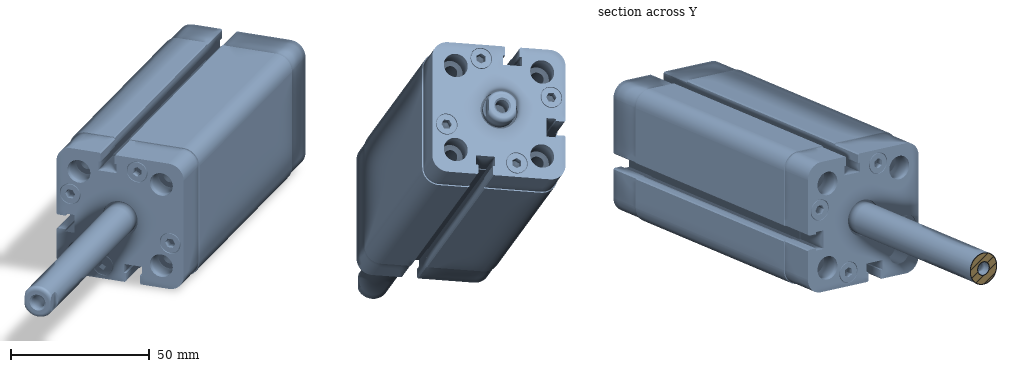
import cadquery as cq
import math

total_length = 206.5
body_length = 119.5
cap_length = 14.2
rear_rod_length = 5.8
front_rod_length = total_length - body_length - rear_rod_length

barrel_width = 50.2
cap_inset = 0.5
cap_width = barrel_width - 2 * cap_inset
barrel_corner_radius = 6.2
cap_corner_radius = barrel_corner_radius - cap_inset

slot_offset = 5.0
slot_mouth_width = 5.4
slot_inner_width = 7.0
slot_lip_depth = 3.5
slot_depth = 7.0
slot_mouth_chamfer = 0.5
slot_side_angles = (0, -90, 180)

mount_hole_spacing = 32.0
mount_hole_diameter = 5.0
counterbore_diameter = 8.9
counterbore_depth = 8.3

screw_side_offset = 6.6
screw_edge_offset = 19.5
screw_count = 4
screw_head_diameter = 7.5
screw_hole_diameter = 8.0
screw_gap_depth = 0.6
socket_sides = 6
screw_socket_width = 3.3
screw_socket_depth = 3.0

rod_diameter = 12.0
rod_clearance_diameter = 13.6
rod_clearance_depth = 1.0
rod_flat_width = 10.1
rod_flat_length = 4.5
rod_flat_runout_size = 1.0
rod_end_round = 1.5
rod_bore_mouth_diameter = 6.2
rod_bore_core_diameter = 5.0
drill_point_angle = 118.0
rod_bore_depth = 14.5


def section(y):
    """Workplane across the Y axis; its local axes are X and Z, and it extrudes toward +Y."""
    return cq.Workplane(cq.Plane(origin=(0, y, 0), xDir=(1, 0, 0), normal=(0, -1, 0)))


def t_slot(width, y_start, length):
    """T-slot cutter in the top side of a square bar of the given width."""
    surface = width / 2
    lip = surface - slot_lip_depth
    floor = surface - slot_depth
    mouth = slot_mouth_width / 2
    inner = slot_inner_width / 2
    right_half = [
        (inner, floor),
        (inner, lip),
        (mouth, lip),
        (mouth, surface - slot_mouth_chamfer),
        (mouth + slot_mouth_chamfer, surface),
    ]
    left_half = [(-x, z) for x, z in reversed(right_half)]
    outline = section(y_start).center(-slot_offset, 0).polyline(right_half + left_half).close()
    return outline.extrude(-length)


def slotted_bar(width, corner_radius, y_start, length):
    """Rounded square bar with a T-slot in its top, left and bottom sides."""
    bar = section(y_start).rect(width, width).extrude(-length).edges("|Y").fillet(corner_radius)
    slot = t_slot(width, y_start, length)
    for angle in slot_side_angles:
        bar = bar.cut(slot.rotate((0, 0, 0), (0, 1, 0), angle))
    return bar


def both_ends(front_shape):
    """The shape at the front end together with its mirror image at the rear end."""
    middle = (0, body_length / 2, 0)
    return front_shape.union(front_shape.mirror("XZ", middle))


def body():
    barrel_length = body_length - 2 * cap_length
    front_cap = slotted_bar(cap_width, cap_corner_radius, 0, cap_length)
    barrel = slotted_bar(barrel_width, barrel_corner_radius, cap_length, barrel_length)
    return barrel.union(both_ends(front_cap))


def mounting_holes():
    corners = section(0).rect(mount_hole_spacing, mount_hole_spacing, forConstruction=True).vertices()
    through = corners.circle(mount_hole_diameter / 2).extrude(-body_length)
    counterbores = corners.circle(counterbore_diameter / 2).extrude(-counterbore_depth)
    return through.union(both_ends(counterbores))


def screw_recesses():
    """Narrow gaps around the flush screw heads, with a hexagon socket in each head."""
    recesses = cq.Workplane()
    place = section(0).center(screw_side_offset, screw_edge_offset)
    ring = place.circle(screw_hole_diameter / 2).circle(screw_head_diameter / 2).extrude(-screw_gap_depth)
    socket = place.polygon(socket_sides, screw_socket_width, circumscribed=True).extrude(-screw_socket_depth)
    recess = ring.union(socket)
    for index in range(screw_count):
        recesses = recesses.add(recess.rotate((0, 0, 0), (0, 1, 0), index * 360 / screw_count))
    return both_ends(recesses.combine())


def rod_blank():
    """Plain rod through the whole body, with both ends rounded."""
    blank = section(-front_rod_length).circle(rod_diameter / 2).extrude(-total_length)
    return blank.faces("<Y or >Y").edges().fillet(rod_end_round)


def bore():
    """Cutter for one bore at y = 0: countersunk mouth, core hole and drill point."""
    mouth_radius = rod_bore_mouth_diameter / 2
    core_radius = rod_bore_core_diameter / 2
    point_length = core_radius / math.tan(math.radians(drill_point_angle / 2))
    return (
        cq.Workplane("XY")
        .lineTo(mouth_radius, 0)
        .lineTo(core_radius, mouth_radius - core_radius)
        .lineTo(core_radius, rod_bore_depth)
        .lineTo(0, rod_bore_depth + point_length)
        .close()
        .revolve(360, (0, 0, 0), (0, 1, 0))
    )


def wrench_flats():
    """Cutter for both flats at y = 0; each flat ends in a 45 degree runout."""
    inner = rod_flat_width / 2
    outer = inner + rod_flat_runout_size
    flat = (
        cq.Workplane("XY")
        .moveTo(inner, 0)
        .lineTo(inner, rod_flat_length)
        .lineTo(outer, rod_flat_length + rod_flat_runout_size)
        .lineTo(outer, 0)
        .close()
        .extrude(rod_diameter / 2, both=True)
    )
    return flat.union(flat.mirror("YZ"))


def rod():
    end_cut = bore().union(wrench_flats())
    front_cut = end_cut.translate((0, -front_rod_length, 0))
    rear_cut = end_cut.mirror("XZ").translate((0, body_length + rear_rod_length, 0))
    return rod_blank().cut(front_cut).cut(rear_cut)


def rod_clearance():
    """Shallow round recess where the rod leaves each cap."""
    return both_ends(section(0).circle(rod_clearance_diameter / 2).extrude(-rod_clearance_depth))


result = body().cut(mounting_holes()).cut(screw_recesses()).cut(rod_clearance()).union(rod())